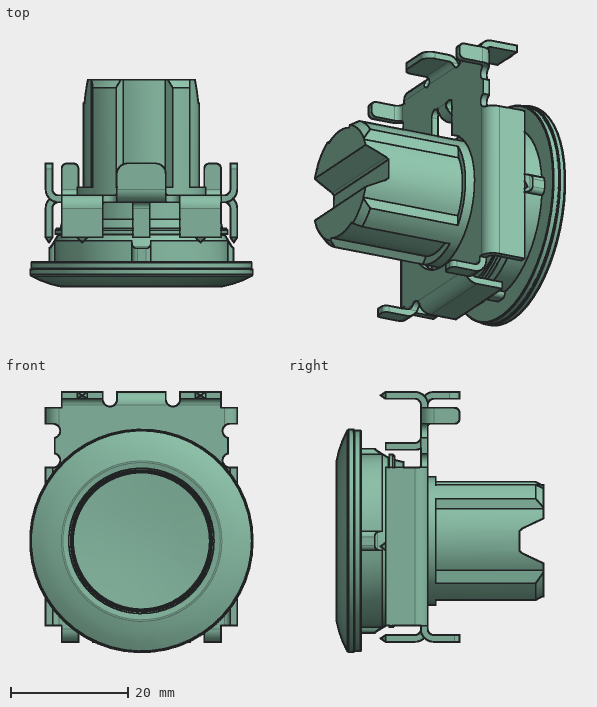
import cadquery as cq
import math


BEZEL_RADIUS = 19.0
BEZEL_EDGE_RADIUS = 18.8
BEZEL_EDGE_Y = 1.8
BEZEL_RIM_Y = 2.15
DOME_MID_RADIUS = 16.3
DOME_MID_Y = 0.7
BEZEL_FLAT_RADIUS = 13.68
LIP_RADIUS = 13.4
LIP_FOOT_RADIUS = 12.4
LIP_DEPTH = 0.18
SHOULDER_DEPTH = 0.4

GROOVE_FRONT_Y = 2.95
GROOVE_REAR_Y = 3.1
GROOVE_RADIUS = 18.55
DISC_RADIUS = 18.83
DISC_REAR_Y = 4.2
DISC_CHAMFER = 0.15

COLLAR_RADIUS = 14.85
COLLAR_EDGE_Y = 7.8
CONE_END_RADIUS = 14.2
CONE_END_Y = 8.85
RIB_RADIUS = 15.75
RIB_FRONT_EDGE_Y = 6.5
RIB_CREST_Y = 6.93
RIB_TOP_HEIGHT = 15.7
RIB_WIDTH = 3.25
RIB_TOP_WIDTH = 1.4

RING_RADIUS = 14.75
RING_FRONT_Y = 8.95
RING_EDGE_RADIUS = 14.45
RING_EDGE_Y = 9.6
RING_REAR_Y = 9.95
NECK_FRONT_RADIUS = 13.8
NECK_REAR_RADIUS = 13.45
NECK_REAR_Y = 11.45

SLEEVE_RADIUS = 10.95
SLEEVE_FLANGE_REAR_Y = 16.95
SLEEVE_REAR_Y = 35.3
SLEEVE_CHAMFER_LENGTH = 1.38
SLEEVE_CHAMFER_DEPTH = 0.98
SIDE_RECESS_RADIUS = 9.9
SIDE_RECESS_WALL_X = 8.25
SIDE_RECESS_UPPER_INNER_X = 8.52
TOP_RECESS_RADIUS = 9.55
TOP_RECESS_LEFT_OUTER_X = -4.3
TOP_RECESS_LEFT_INNER_X = -3.1
TOP_RECESS_RIGHT_INNER_X = 4.1
TOP_RECESS_RIGHT_OUTER_X = 5.35
REAR_NOTCH_WIDTH = 7.65
REAR_NOTCH_NECK_WIDTH = 4.17
REAR_NOTCH_FLOOR_WIDTH = 3.37
REAR_NOTCH_NECK_DEPTH = 3.65
REAR_NOTCH_DEPTH = 4.1

BUTTON_RADIUS = 12.08
BUTTON_STEP_RADIUS = 11.85
BUTTON_DISH_RADIUS = 11.65
BUTTON_DISH_DEPTH = 0.65
BUTTON_FRONT_Y = LIP_DEPTH
BUTTON_REAR_Y = 2.2

SHEET = 1.2
BEND_RADIUS = 2.2
PLATE_FRONT_Y = 14.4
PLATE_REAR_Y = PLATE_FRONT_Y + SHEET
FLANGE_TIP_Y = 8.4
TAB_TIP_Y = 21.0
TOP_Z = 25.4
BOTTOM_Z = -17.23
SIDE_X = 16.35
CORNER_X = 13.6
TAB_CORNER_RADIUS = 0.9

PLATE_HOLE_RADIUS = 11.68

RELIEF_RADIUS = 1.2
RELIEF_INSET = 1.3
TOP_RELIEF_X = 5.37
BOTTOM_RELIEF_X = 9.5
SIDE_RELIEF_UPPER_Z = 18.75
SIDE_RELIEF_LOWER_Z = 13.7

SIDE_TAB_TOP_Z = 22.7
SIDE_FLANGE_BOTTOM_Z = -14.45
TOOTH_X = 14.8
TOP_TAB_CORNER_RADIUS = 1.78

WINDOW_WIDTH = 7.2
WINDOW_TAB_WIDTH = 2.9
WINDOW_TAB_BOTTOM_Z = 15.5
WINDOW_RELIEF_Z = 16.8

PIP_HEIGHT = 0.9
PIP_WIDTH = 1.78
SIDE_PIP_WIDTH = 1.35


def turned(outline):
    """Revolve a closed (radius, y) outline about the Y axis."""
    return outline.revolve(360, (0, 0, 0), (0, 1, 0))


def spun(shape, angle):
    """Turn a shape about the Y axis; positive angles carry +Z towards +X."""
    return shape.rotate((0, 0, 0), (0, 1, 0), angle)


def block(x_min, x_max, y_min, y_max, z_min, z_max):
    return cq.Workplane("XY").box(
        x_max - x_min, y_max - y_min, z_max - z_min, centered=False
    ).translate((x_min, y_min, z_min))


def disc(radius, y_min, y_max):
    return cq.Workplane("XZ", origin=(0, y_max, 0)).circle(radius).extrude(y_max - y_min)



def housing_core():
    """Turned body: bezel, grooved disc, collar as large as its ribs, ring, neck and sleeve."""
    cone_slope = (COLLAR_RADIUS - CONE_END_RADIUS) / (CONE_END_Y - COLLAR_EDGE_Y)
    crest_radius = COLLAR_RADIUS + cone_slope * (COLLAR_EDGE_Y - RIB_CREST_Y)
    outline = (
        cq.Workplane("XY")
        .moveTo(0, BUTTON_REAR_Y)
        .lineTo(BUTTON_RADIUS, BUTTON_REAR_Y)
        .lineTo(BUTTON_RADIUS, SHOULDER_DEPTH)
        .lineTo(LIP_FOOT_RADIUS, LIP_DEPTH)
        .lineTo(LIP_RADIUS, 0)
        .lineTo(BEZEL_FLAT_RADIUS, 0)
        .threePointArc((DOME_MID_RADIUS, DOME_MID_Y), (BEZEL_EDGE_RADIUS, BEZEL_EDGE_Y))
        .lineTo(BEZEL_RADIUS, BEZEL_RIM_Y)
        .lineTo(BEZEL_RADIUS, GROOVE_FRONT_Y)
        .lineTo(GROOVE_RADIUS, GROOVE_FRONT_Y)
        .lineTo(GROOVE_RADIUS, GROOVE_REAR_Y)
        .lineTo(DISC_RADIUS, GROOVE_REAR_Y)
        .lineTo(DISC_RADIUS, DISC_REAR_Y - DISC_CHAMFER)
        .lineTo(DISC_RADIUS - DISC_CHAMFER, DISC_REAR_Y)
        .lineTo(RIB_RADIUS, DISC_REAR_Y)
        .lineTo(RIB_RADIUS, RIB_FRONT_EDGE_Y)
        .lineTo(crest_radius, RIB_CREST_Y)
        .lineTo(CONE_END_RADIUS, CONE_END_Y)
        .lineTo(NECK_FRONT_RADIUS, CONE_END_Y)
        .lineTo(NECK_FRONT_RADIUS, RING_FRONT_Y)
        .lineTo(RING_RADIUS, RING_FRONT_Y)
        .lineTo(RING_RADIUS, RING_EDGE_Y)
        .lineTo(RING_EDGE_RADIUS, RING_REAR_Y)
        .lineTo(NECK_FRONT_RADIUS, RING_REAR_Y)
        .lineTo(NECK_REAR_RADIUS, NECK_REAR_Y)
        .lineTo(SLEEVE_RADIUS, NECK_REAR_Y)
        .lineTo(SLEEVE_RADIUS, SLEEVE_REAR_Y - SLEEVE_CHAMFER_LENGTH)
        .lineTo(SLEEVE_RADIUS - SLEEVE_CHAMFER_DEPTH, SLEEVE_REAR_Y)
        .lineTo(0, SLEEVE_REAR_Y)
        .close()
    )
    return turned(outline)


def collar_rib():
    """Bar along the top of the collar, with quarter-round shoulders."""
    half = RIB_WIDTH / 2
    half_top = RIB_TOP_WIDTH / 2
    shoulder = half - half_top
    side_z = RIB_TOP_HEIGHT - shoulder
    mid_x = half_top + shoulder * math.sqrt(0.5)
    mid_z = side_z + shoulder * math.sqrt(0.5)
    return (
        cq.Workplane("XZ", origin=(0, COLLAR_EDGE_Y, 0))
        .moveTo(-half, 0)
        .lineTo(-half, side_z)
        .threePointArc((-mid_x, mid_z), (-half_top, RIB_TOP_HEIGHT))
        .lineTo(half_top, RIB_TOP_HEIGHT)
        .threePointArc((mid_x, mid_z), (half, side_z))
        .lineTo(half, 0)
        .close()
        .extrude(COLLAR_EDGE_Y - DISC_REAR_Y)
    )


def collar_gaps():
    """Material to remove around the collar so that only the four ribs stand above it."""
    gaps = disc(BEZEL_RADIUS, DISC_REAR_Y, COLLAR_EDGE_Y)
    gaps = gaps.cut(disc(COLLAR_RADIUS, DISC_REAR_Y, COLLAR_EDGE_Y))
    for angle in (0, 90, 180, 270):
        gaps = gaps.cut(spun(collar_rib(), angle))
    return gaps


def sleeve_recess(outline, floor_radius):
    """Shallow recess along the sleeve, with a round floor; the outline gives its side walls."""
    length = SLEEVE_REAR_Y - SLEEVE_FLANGE_REAR_Y
    return outline.extrude(-length).cut(disc(floor_radius, SLEEVE_FLANGE_REAR_Y, SLEEVE_REAR_Y))


def sleeve_plane():
    return cq.Workplane("XZ", origin=(0, SLEEVE_FLANGE_REAR_Y, 0))


def on_circle(radius, x):
    return (x, math.sqrt(radius**2 - x**2))


def top_recess():
    outline = sleeve_plane().polyline([
        (0, 0),
        on_circle(TOP_RECESS_RADIUS, TOP_RECESS_LEFT_INNER_X),
        on_circle(SLEEVE_RADIUS, TOP_RECESS_LEFT_OUTER_X),
        (TOP_RECESS_LEFT_OUTER_X, SLEEVE_RADIUS),
        (TOP_RECESS_RIGHT_OUTER_X, SLEEVE_RADIUS),
        on_circle(SLEEVE_RADIUS, TOP_RECESS_RIGHT_OUTER_X),
        on_circle(TOP_RECESS_RADIUS, TOP_RECESS_RIGHT_INNER_X),
    ]).close()
    return sleeve_recess(outline, TOP_RECESS_RADIUS)


def side_recess():
    """Recess on the -X side, its lower wall parallel to Z and its upper wall slightly tilted."""
    upper_x, upper_z = on_circle(SIDE_RECESS_RADIUS, SIDE_RECESS_UPPER_INNER_X)
    outer_x, outer_z = on_circle(SLEEVE_RADIUS, SIDE_RECESS_WALL_X)
    outline = sleeve_plane().polyline([
        (0, 0),
        (-upper_x, upper_z),
        (-outer_x, outer_z),
        (-SLEEVE_RADIUS, outer_z),
        (-SLEEVE_RADIUS, -outer_z),
        (-outer_x, -outer_z),
        (-SIDE_RECESS_WALL_X, 0),
    ]).close()
    return sleeve_recess(outline, SIDE_RECESS_RADIUS)


def rear_notch():
    """Notch with sloping flanks across the rear end of the sleeve."""
    neck_y = SLEEVE_REAR_Y - REAR_NOTCH_NECK_DEPTH
    floor_y = SLEEVE_REAR_Y - REAR_NOTCH_DEPTH
    return (
        cq.Workplane("YZ")
        .polyline([
            (SLEEVE_REAR_Y, REAR_NOTCH_WIDTH / 2),
            (neck_y, REAR_NOTCH_NECK_WIDTH / 2),
            (floor_y, REAR_NOTCH_FLOOR_WIDTH / 2),
            (floor_y, -REAR_NOTCH_FLOOR_WIDTH / 2),
            (neck_y, -REAR_NOTCH_NECK_WIDTH / 2),
            (SLEEVE_REAR_Y, -REAR_NOTCH_WIDTH / 2),
        ])
        .close()
        .extrude(SLEEVE_RADIUS, both=True)
    )


def make_housing():
    body = housing_core().cut(collar_gaps())
    for angle in (0, 180):
        body = body.cut(spun(top_recess(), angle))
        body = body.cut(spun(side_recess(), angle))
    return body.cut(rear_notch()).solids()



def make_button():
    """Round button with a narrow shoulder, a bevelled edge and a dished face."""
    outline = (
        cq.Workplane("XY")
        .moveTo(0, BUTTON_REAR_Y)
        .lineTo(BUTTON_RADIUS, BUTTON_REAR_Y)
        .lineTo(BUTTON_RADIUS, SHOULDER_DEPTH)
        .lineTo(BUTTON_STEP_RADIUS, SHOULDER_DEPTH)
        .lineTo(BUTTON_DISH_RADIUS, BUTTON_FRONT_Y)
    )
    dish_sphere = (BUTTON_DISH_RADIUS**2 + BUTTON_DISH_DEPTH**2) / (2 * BUTTON_DISH_DEPTH)
    mid_radius = BUTTON_DISH_RADIUS / 2
    floor_y = BUTTON_FRONT_Y + BUTTON_DISH_DEPTH
    mid_y = floor_y - dish_sphere + math.sqrt(dish_sphere**2 - mid_radius**2)
    return turned(outline.threePointArc((mid_radius, mid_y), (0, floor_y)).close())



def bent_tab(outer_z, tip_y, x_min, x_max, fold=1, corner_radius=0):
    """Tab bent out of the plate, its outer face at outer_z and its tip at tip_y.

    A fold of 1 puts the bend below the tab, a fold of -1 above it.
    """
    inner_radius = BEND_RADIUS - SHEET
    forward = tip_y < PLATE_FRONT_Y
    outer_y = PLATE_REAR_Y if forward else PLATE_FRONT_Y
    along = -1 if forward else 1
    bend_y = outer_y + along * BEND_RADIUS
    bend_z = outer_z - fold * BEND_RADIUS
    inner_z = outer_z - fold * SHEET
    diagonal = math.sqrt(0.5)

    def bend_middle(radius):
        return (bend_y - along * radius * diagonal, bend_z + fold * radius * diagonal)

    tab = (
        cq.Workplane("YZ", origin=(x_min, 0, 0))
        .moveTo(outer_y, bend_z)
        .threePointArc(bend_middle(BEND_RADIUS), (bend_y, outer_z))
        .lineTo(tip_y, outer_z)
        .lineTo(tip_y, inner_z)
        .lineTo(bend_y, inner_z)
        .threePointArc(bend_middle(inner_radius), (outer_y + along * SHEET, bend_z))
        .close()
        .extrude(x_max - x_min)
    )
    if corner_radius:
        tab = tab.faces("<Y" if forward else ">Y").edges("|Z").fillet(corner_radius)
    return tab


def pip(x, outer_z, width):
    """Small pyramid on the front edge of a flange."""
    base_z = outer_z - SHEET / 2
    half = width / 2
    corners = [
        cq.Vector(x + sx * half, FLANGE_TIP_Y, base_z + sz * SHEET / 2)
        for sx, sz in ((-1, -1), (1, -1), (1, 1), (-1, 1))
    ]
    apex = cq.Vector(x, FLANGE_TIP_Y - PIP_HEIGHT, base_z)
    faces = [cq.Face.makeFromWires(cq.Wire.makePolygon(corners, close=True))]
    for start, end in zip(corners, corners[1:] + corners[:1]):
        faces.append(cq.Face.makeFromWires(cq.Wire.makePolygon([start, end, apex], close=True)))
    return cq.Workplane(cq.Solid.makeSolid(cq.Shell.makeShell(faces)))


def pipped_flange(outer_z, x_min, x_max, pip_x, pip_width):
    """Forward flange with a pip on its front edge."""
    flange = bent_tab(outer_z, FLANGE_TIP_Y, x_min, x_max)
    return flange.union(pip(pip_x, outer_z, pip_width))


def relief_slot(x, z, end_z, radius=RELIEF_RADIUS):
    """Slot through the bracket with a round end at (x, z), open towards end_z."""
    slot = block(x - radius, x + radius, FLANGE_TIP_Y, TAB_TIP_Y, min(z, end_z), max(z, end_z))
    return slot.union(disc(radius, FLANGE_TIP_Y, TAB_TIP_Y).translate((x, 0, z)))


def plate_area(half_width, z_min, z_max):
    return block(-half_width, half_width, PLATE_FRONT_Y, PLATE_REAR_Y, z_min, z_max)


def bracket_plate():
    plate = plate_area(CORNER_X, BOTTOM_Z + BEND_RADIUS, TOP_Z - BEND_RADIUS)
    plate = plate.union(plate_area(SIDE_X - BEND_RADIUS, SIDE_FLANGE_BOTTOM_Z, SIDE_TAB_TOP_Z))
    plate = plate.union(plate_area(TOOTH_X, SIDE_RELIEF_LOWER_Z, SIDE_RELIEF_UPPER_Z))
    return plate.cut(disc(PLATE_HOLE_RADIUS, PLATE_FRONT_Y, PLATE_REAR_Y))


def rear_tab(outer_z, x_min, x_max, root_min, root_max, corner_radius):
    """Rear tab with rounded tip corners, on a root that widens to the middles of its relief slots."""
    tab = bent_tab(outer_z, TAB_TIP_Y, x_min, x_max, corner_radius=corner_radius)
    below_slots = block(root_min, root_max, PLATE_FRONT_Y, TAB_TIP_Y, 0, outer_z - RELIEF_INSET)
    root = bent_tab(outer_z, TAB_TIP_Y, root_min, root_max).intersect(below_slots)
    return tab.union(root)


def relief_slots(outer_z, positions):
    slots = cq.Workplane()
    for x in positions:
        slots = slots.add(relief_slot(x, outer_z - RELIEF_INSET, outer_z))
    return slots.combine()


def top_edge():
    """Two pipped flanges to the front and one rounded tab to the rear."""
    tab_x = TOP_RELIEF_X - RELIEF_RADIUS
    pip_x = (TOP_RELIEF_X + RELIEF_RADIUS + CORNER_X) / 2
    flange = pipped_flange(TOP_Z, TOP_RELIEF_X, CORNER_X, pip_x, PIP_WIDTH)
    tab = rear_tab(TOP_Z, -tab_x, tab_x, -TOP_RELIEF_X, TOP_RELIEF_X, TOP_TAB_CORNER_RADIUS)
    return [flange, flange.mirror("YZ"), tab]


def bottom_edge():
    """One pipped flange to the front and two rounded tabs to the rear."""
    tab_x = BOTTOM_RELIEF_X + RELIEF_RADIUS
    flange = pipped_flange(-BOTTOM_Z, -BOTTOM_RELIEF_X, BOTTOM_RELIEF_X, 0, PIP_WIDTH)
    tab = rear_tab(-BOTTOM_Z, tab_x, CORNER_X, BOTTOM_RELIEF_X, CORNER_X, TAB_CORNER_RADIUS)
    return [spun(piece, 180) for piece in (flange, tab, tab.mirror("YZ"))]


def left_edge():
    """One long pipped flange to the front and one short rounded tab to the rear."""
    flange_top = SIDE_RELIEF_LOWER_Z - RELIEF_RADIUS
    pip_x = (SIDE_FLANGE_BOTTOM_Z + flange_top) / 2
    flange = pipped_flange(SIDE_X, SIDE_FLANGE_BOTTOM_Z, SIDE_RELIEF_LOWER_Z, pip_x, SIDE_PIP_WIDTH)
    tab_bottom = SIDE_RELIEF_UPPER_Z + RELIEF_RADIUS
    tab = rear_tab(
        SIDE_X, tab_bottom, SIDE_TAB_TOP_Z, SIDE_RELIEF_UPPER_Z, SIDE_TAB_TOP_Z, TAB_CORNER_RADIUS
    )
    return [spun(piece, -90) for piece in (flange, tab)]


def edge_slots():
    """Relief slots of the four bracket edges."""
    top = relief_slots(TOP_Z, (-TOP_RELIEF_X, TOP_RELIEF_X))
    bottom = relief_slots(-BOTTOM_Z, (-BOTTOM_RELIEF_X, BOTTOM_RELIEF_X))
    side = spun(relief_slots(SIDE_X, (SIDE_RELIEF_LOWER_Z, SIDE_RELIEF_UPPER_Z)), -90)
    return [top, spun(bottom, 180), side, side.mirror("YZ")]


def add_window(bracket):
    """Window above the sleeve hole, with a tab bent forward from its upper edge."""
    half = WINDOW_WIDTH / 2
    half_tab = WINDOW_TAB_WIDTH / 2
    bracket = bracket.cut(plate_area(half, 0, WINDOW_RELIEF_Z))
    bracket = bracket.cut(plate_area(half_tab, WINDOW_RELIEF_Z, WINDOW_TAB_BOTTOM_Z + BEND_RADIUS))
    relief_radius = (half - half_tab) / 2
    relief_x = (half + half_tab) / 2
    for x in (-relief_x, relief_x):
        bracket = bracket.cut(relief_slot(x, WINDOW_RELIEF_Z, WINDOW_TAB_BOTTOM_Z, relief_radius))
    return bracket.union(
        bent_tab(WINDOW_TAB_BOTTOM_Z, FLANGE_TIP_Y, -half_tab, half_tab, fold=-1)
    )


def make_bracket():
    sheet = bracket_plate()
    left = left_edge()
    right = [piece.mirror("YZ") for piece in left]
    for piece in top_edge() + bottom_edge() + left + right:
        sheet = sheet.union(piece)
    for slots in edge_slots():
        sheet = sheet.cut(slots)
    return add_window(sheet).solids()


housing = make_housing()
button = make_button()
bracket = make_bracket()

result = cq.Compound.makeCompound([housing.val(), button.val(), bracket.val()])